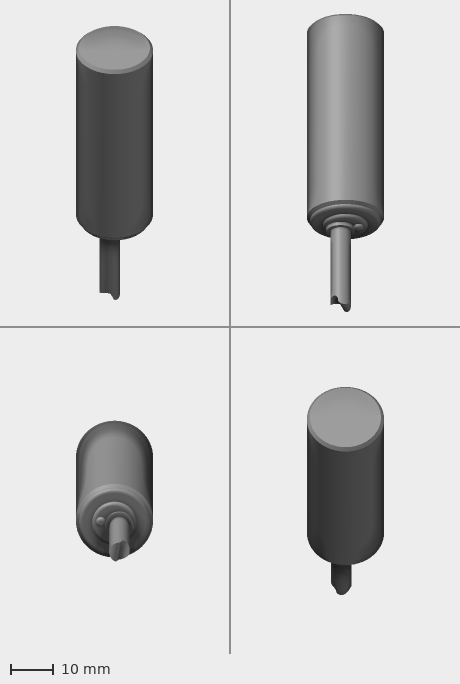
import cadquery as cq

total_height = 72.8
body_radius = 18.0 / 2

body_bottom = 23.65
edge_chamfer = 0.7

cap_radius = body_radius - edge_chamfer
cap_height = 1.0
cap_fillet = 0.9
cap_bottom = body_bottom - edge_chamfer - cap_height

disc_radius = 10.5 / 2
disc_height = 0.95
disc_fillet = 0.8
disc_bottom = cap_bottom - disc_height

cable_y = -1.2
cable_radius = 4.8 / 2
collar_radius = 6.8 / 2
collar_height = 0.9
collar_bottom = disc_bottom - collar_height

lamp_radius = 1.2
lamp_y = 3.2
lamp_fillet = 0.7

end_radius = cable_radius / 2


def cylinder(radius, bottom, top, center_y=0.0):
    """Vertical cylinder between two heights."""
    return cq.Workplane("XY", origin=(0, center_y, bottom)).circle(radius).extrude(top - bottom)


def make_body():
    """Main cylinder with a chamfer at both ends."""
    body = cylinder(body_radius, body_bottom - edge_chamfer, total_height)
    return body.faces("<Z or >Z").chamfer(edge_chamfer)


def make_cable():
    """Cable whose lower end is cut to an S curve across Y."""
    front_y = cable_y - cable_radius
    back_y = cable_y + cable_radius
    profile = (
        cq.Workplane("YZ")
        .moveTo(front_y, end_radius)
        .threePointArc((front_y + end_radius, 2 * end_radius), (cable_y, end_radius))
        .threePointArc((cable_y + end_radius, 0), (back_y, end_radius))
        .lineTo(back_y, collar_bottom)
        .lineTo(front_y, collar_bottom)
        .close()
        .extrude(cable_radius, both=True)
    )
    return cylinder(cable_radius, 0, collar_bottom, cable_y).intersect(profile)


cap = cylinder(cap_radius, cap_bottom, cap_bottom + cap_height).faces("<Z").edges().fillet(cap_fillet)
disc = cylinder(disc_radius, disc_bottom, cap_bottom).faces("<Z").edges().fillet(disc_fillet)
collar = cylinder(collar_radius, collar_bottom, disc_bottom, cable_y)
lamp = cylinder(lamp_radius, collar_bottom, cap_bottom, lamp_y).faces("<Z").edges().fillet(lamp_fillet)

result = make_body().union(cap).union(disc).union(collar).union(lamp).union(make_cable())